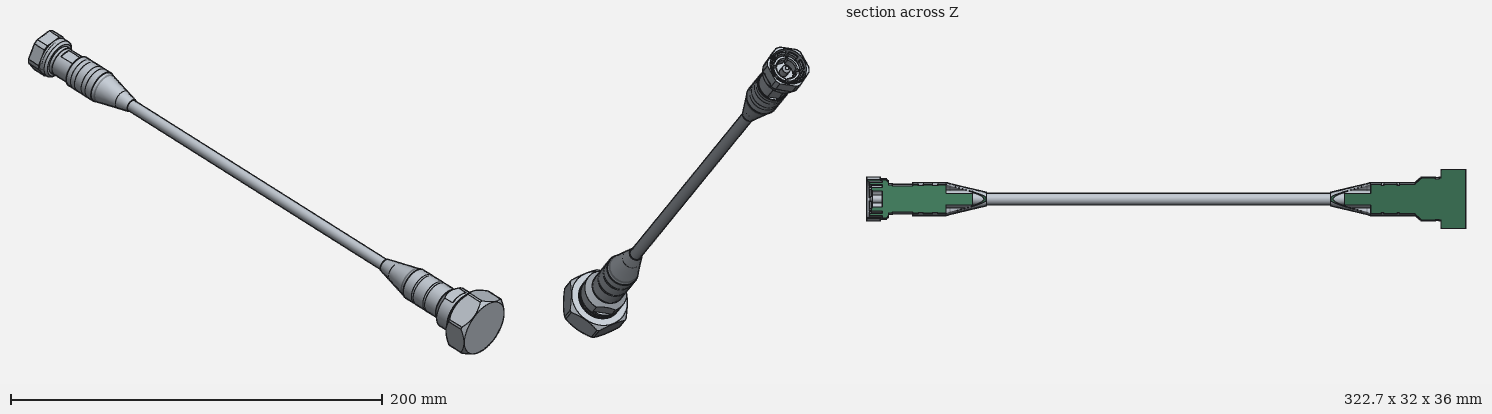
import cadquery as cq
import math

LENGTH = 322.7

CABLE_RADIUS = 3.2
BOOT_RADIUS = 9.0
BOOT_SHOULDER_LENGTH = 2.0
BOOT_CONE_RADIUS = 8.5
BOOT_WALL = 0.5
BOOT_CONE_LENGTH = 19.7
LEFT_BOOT_START = 25.0
LEFT_BOOT_BARREL = 18.0
RIGHT_BOOT_END = 295.3
RIGHT_BOOT_BARREL = 24.0

FERRULE_RADIUS = 5.0
FERRULE_LENGTH = 14.2
TAIL_GROOVE_DEPTH = 0.3
LEFT_TAIL_GROOVE_OFFSETS = (3.0, 10.5)
LEFT_TAIL_GROOVE_WIDTH = 3.0
RIGHT_TAIL_GROOVE_OFFSETS = (8.5, 16.8)
RIGHT_TAIL_GROOVE_WIDTH = 1.3

LEFT_NUT_FLATS = 22.0
LEFT_NUT_CORNER_RADIUS = 12.0
LEFT_HEX_LENGTH = 7.5
LEFT_NUT_LENGTH = 12.0
LEFT_NUT_CHAMFER = 1.3
LEFT_SHOULDER_RADIUS = 8.5
LEFT_SHOULDER_END = 14.0
LEFT_BODY_RADIUS = 8.0
LEFT_FLATS_START = 15.8
LEFT_FLATS_HALF_HEIGHT = 7.5

SOCKET_RADIUS = 10.3
SOCKET_DEPTH = 8.5
SPRING_OUTER_RADIUS = 9.7
SPRING_INNER_RADIUS = 8.5
FINGER_BEVEL = 0.5
SPRING_SETBACK = 1.3
SPRING_SLOT_WIDTH = 2.0
SPRING_SLOT_COUNT = 8
TUBE_OUTER_RADIUS = 7.5
TUBE_INNER_RADIUS = 5.5
TUBE_SLOT_WIDTH = 1.3
TUBE_SLOT_COUNT = 4
TUBE_SETBACK = 2.5
PIN_RADIUS = 2.3
PIN_SETBACK = 2.0
PIN_CHAMFER = 1.3

RIGHT_NUT_FLATS = 32.0
RIGHT_NUT_CORNER_RADIUS = 18.0
RIGHT_NUT_FACE_RADIUS = 15.8
RIGHT_NUT_CHAMFER_LENGTH = 2.3
RIGHT_NUT_LENGTH = 13.5
RIGHT_BODY_RADIUS = 12.0
RIGHT_BODY_CONE = 3.5
RIGHT_FLATS_END = 304.3
RIGHT_FLATS_HALF_HEIGHT = 10.5
NECK_GROOVE_START = 306.3
NECK_GROOVE_END = 308.2
NECK_GROOVE_DEPTH = 0.3

RIGHT_NUT_START = LENGTH - RIGHT_NUT_LENGTH


def cylinder(start, end, radius):
    """A cylinder on the X axis."""
    return cq.Workplane("YZ").workplane(offset=start).circle(radius).extrude(end - start)


def ring(start, end, outer_radius, inner_radius):
    """A round tube on the X axis."""
    return cylinder(start, end, outer_radius).cut(cylinder(start, end, inner_radius))


def turned(profile):
    """Revolve a list of (x, radius) points, closed along the X axis."""
    points = [(profile[0][0], 0), *profile, (profile[-1][0], 0)]
    return cq.Workplane("XY").polyline(points).close().revolve(360, (0, 0, 0), (1, 0, 0))


def hexagon(start, end, across_flats, corner_angle):
    """A hexagonal prism along X; corner_angle 0 puts two corners on the Y axis."""
    corner_diameter = across_flats / math.cos(math.pi / 6)
    prism = cq.Workplane("YZ").workplane(offset=start).polygon(6, corner_diameter).extrude(end - start)
    return prism.rotate((0, 0, 0), (1, 0, 0), corner_angle)


def wrench_flats(body, start, end, half_height):
    """Cut two flats facing up and down, leaving half_height on each side of the axis."""
    size = 2 * RIGHT_BODY_RADIUS
    for side in (1, -1):
        cutter = cq.Workplane("XY").box(end - start, size, size)
        body = body.cut(cutter.translate(((start + end) / 2, 0, side * (half_height + size / 2))))
    return body


def boot_profile(barrel_end, barrel_length, direction, inset):
    """Points (x, radius) along a boot, drawn in from its outer surface by inset."""
    shoulder = barrel_end + direction * barrel_length
    cone = shoulder + direction * BOOT_SHOULDER_LENGTH
    tip = cone + direction * BOOT_CONE_LENGTH
    return [
        (barrel_end, BOOT_RADIUS - inset),
        (shoulder, BOOT_RADIUS - inset),
        (cone, BOOT_CONE_RADIUS - inset),
        (tip, CABLE_RADIUS + BOOT_WALL - inset),
    ]


def make_boot(barrel_end, barrel_length, direction):
    """Thin boot with its barrel at barrel_end, tapering toward the cable in the given X direction."""
    outside = turned(boot_profile(barrel_end, barrel_length, direction, 0))
    return outside.cut(turned(boot_profile(barrel_end, barrel_length, direction, BOOT_WALL)))


def make_tail(barrel_end, barrel_length, direction, groove_offsets, groove_width):
    """Rear of a connector inside its boot: a grooved barrel and a ferrule around the cable."""
    barrel = BOOT_RADIUS - BOOT_WALL
    shoulder = barrel_end + direction * barrel_length
    ferrule_end = shoulder + direction * FERRULE_LENGTH
    tail = turned([
        (barrel_end, barrel),
        (shoulder, barrel),
        (shoulder, FERRULE_RADIUS),
        (ferrule_end, FERRULE_RADIUS),
    ])
    for offset in groove_offsets:
        start = barrel_end + direction * offset
        tail = tail.cut(ring(start, start + direction * groove_width, barrel, barrel - TAIL_GROOVE_DEPTH))
    return tail.cut(cylinder(barrel_end, ferrule_end, CABLE_RADIUS))


def make_cable():
    """Plain round cable running between the two connectors."""
    return cylinder(LEFT_BOOT_START, RIGHT_BOOT_END, CABLE_RADIUS)


def slotted_tube(setback, outer_radius, inner_radius, slot_width, slot_count):
    """Tube with a bevelled mouth on the socket floor, split into contact fingers by radial slots."""
    fingers = ring(setback, SOCKET_DEPTH, outer_radius, inner_radius)
    mouth = turned([
        (setback, inner_radius + FINGER_BEVEL),
        (setback + FINGER_BEVEL, inner_radius),
    ])
    fingers = fingers.cut(mouth)
    slot = cq.Workplane("XY").box(SOCKET_DEPTH, outer_radius, slot_width, centered=(False, False, True))
    for i in range(slot_count):
        fingers = fingers.cut(slot.rotate((0, 0, 0), (1, 0, 0), i * 360 / slot_count))
    return fingers


def make_left_connector():
    """Connector with a hexagonal grip, a flatted body and an open socket at X = 0."""
    hex_grip = hexagon(0, LEFT_HEX_LENGTH, LEFT_NUT_FLATS, 0)
    hex_grip = hex_grip.intersect(cylinder(0, LEFT_HEX_LENGTH, LEFT_NUT_CORNER_RADIUS))
    collar_radius = LEFT_NUT_FLATS / 2
    body = turned([
        (LEFT_HEX_LENGTH, collar_radius),
        (LEFT_NUT_LENGTH - LEFT_NUT_CHAMFER, collar_radius),
        (LEFT_NUT_LENGTH, collar_radius - LEFT_NUT_CHAMFER),
        (LEFT_NUT_LENGTH, LEFT_SHOULDER_RADIUS),
        (LEFT_SHOULDER_END, LEFT_SHOULDER_RADIUS),
        (LEFT_SHOULDER_END, LEFT_BODY_RADIUS),
        (LEFT_BOOT_START, LEFT_BODY_RADIUS),
    ])
    body = wrench_flats(body, LEFT_FLATS_START, LEFT_BOOT_START, LEFT_FLATS_HALF_HEIGHT)
    tail = make_tail(
        LEFT_BOOT_START, LEFT_BOOT_BARREL, 1, LEFT_TAIL_GROOVE_OFFSETS, LEFT_TAIL_GROOVE_WIDTH
    )
    body = body.union(hex_grip).union(tail).cut(cylinder(0, SOCKET_DEPTH, SOCKET_RADIUS))
    pin = cylinder(PIN_SETBACK, SOCKET_DEPTH, PIN_RADIUS).faces("<X").chamfer(PIN_CHAMFER)
    spring = slotted_tube(
        SPRING_SETBACK, SPRING_OUTER_RADIUS, SPRING_INNER_RADIUS, SPRING_SLOT_WIDTH, SPRING_SLOT_COUNT
    )
    contact = slotted_tube(
        TUBE_SETBACK, TUBE_OUTER_RADIUS, TUBE_INNER_RADIUS, TUBE_SLOT_WIDTH, TUBE_SLOT_COUNT
    )
    return body.union(spring).union(contact).union(pin)


def make_right_connector():
    """Connector with a flatted body and a large chamfered hexagonal nut."""
    body = turned([
        (RIGHT_BOOT_END, BOOT_RADIUS),
        (RIGHT_BOOT_END + RIGHT_BODY_CONE, RIGHT_BODY_RADIUS),
        (RIGHT_NUT_START, RIGHT_BODY_RADIUS),
    ])
    groove_floor = RIGHT_BODY_RADIUS - NECK_GROOVE_DEPTH
    body = body.cut(ring(NECK_GROOVE_START, NECK_GROOVE_END, RIGHT_BODY_RADIUS, groove_floor))
    body = wrench_flats(body, RIGHT_BOOT_END, RIGHT_FLATS_END, RIGHT_FLATS_HALF_HEIGHT)
    nut_envelope = turned([
        (RIGHT_NUT_START, RIGHT_NUT_FACE_RADIUS),
        (RIGHT_NUT_START + RIGHT_NUT_CHAMFER_LENGTH, RIGHT_NUT_CORNER_RADIUS),
        (LENGTH - RIGHT_NUT_CHAMFER_LENGTH, RIGHT_NUT_CORNER_RADIUS),
        (LENGTH, RIGHT_NUT_FACE_RADIUS),
    ])
    nut = hexagon(RIGHT_NUT_START, LENGTH, RIGHT_NUT_FLATS, 90).intersect(nut_envelope)
    tail = make_tail(
        RIGHT_BOOT_END, RIGHT_BOOT_BARREL, -1, RIGHT_TAIL_GROOVE_OFFSETS, RIGHT_TAIL_GROOVE_WIDTH
    )
    return body.union(nut).union(tail)


left_connector = make_left_connector()
left_boot = make_boot(LEFT_BOOT_START, LEFT_BOOT_BARREL, 1)
cable = make_cable()
right_boot = make_boot(RIGHT_BOOT_END, RIGHT_BOOT_BARREL, -1)
right_connector = make_right_connector()

result = cq.Compound.makeCompound([
    left_connector.val(),
    left_boot.val(),
    cable.val(),
    right_boot.val(),
    right_connector.val(),
])